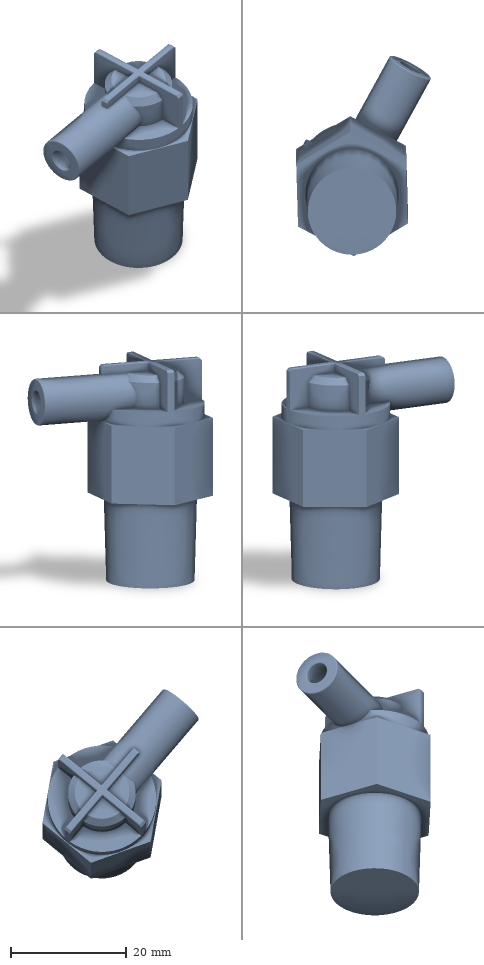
import cadquery as cq
import math

hex_across_corners = 22.0
hex_across_flats = hex_across_corners * math.cos(math.pi / 6)
hex_height = 13.7
shank_length = 15.2
shank_top_radius = 8.1
shank_bottom_radius = 7.65
hex_top = shank_length + hex_height

overall_height = 38.73
flange_radius = 9.4
flange_height = 2.48
flange_top = hex_top + flange_height
boss_radius = 5.85
boss_chamfer = 1.12
rib_thickness = 1.28
rib_end_chamfer = 0.45
rib_top_fillet = 0.25

tube_radius = 4.05
tube_clearance = 0.02
overall_depth = 30.9
tube_reach = overall_depth - hex_across_flats / 2
tube_axis_height = hex_top + tube_clearance + tube_radius
tube_edge_fillet = 0.2
bore_radius = 1.95
boss_top = tube_axis_height + tube_radius + tube_clearance


def make_plug():
    """Hexagon with a conical shank below it, its base at Z = 0."""
    shank = (
        cq.Workplane("XY")
        .circle(shank_bottom_radius)
        .workplane(offset=shank_length)
        .circle(shank_top_radius)
        .loft(ruled=True)
    )
    hexagon = (
        cq.Workplane("XY", origin=(0, 0, shank_length))
        .polygon(6, hex_across_corners)
        .extrude(hex_height)
    )
    return shank.union(hexagon)


def make_cross_ribs():
    """Two crossed bars, bounded by a chamfered disc and rounded along the top edges."""
    rib_height = overall_height - flange_top
    bar_length = 3 * flange_radius
    along_x = (
        cq.Workplane("XY", origin=(0, 0, flange_top))
        .rect(bar_length, rib_thickness)
        .extrude(rib_height)
    )
    along_y = along_x.rotate((0, 0, 0), (0, 0, 1), 90)
    outer_limit = (
        cq.Workplane("XY", origin=(0, 0, flange_top))
        .circle(flange_radius)
        .extrude(rib_height)
        .faces(">Z")
        .chamfer(rib_end_chamfer)
    )
    crossed = along_x.union(along_y).intersect(outer_limit)
    return crossed.faces(">Z").edges().fillet(rib_top_fillet)


def make_boss():
    """Chamfered round boss at the centre of the flange."""
    return (
        cq.Workplane("XY", origin=(0, 0, flange_top))
        .circle(boss_radius)
        .extrude(boss_top - flange_top)
        .faces(">Z")
        .chamfer(boss_chamfer)
    )


def make_tube():
    """Tube from the elbow axis out to its rounded rim, still without its bore."""
    return (
        cq.Workplane("XZ", origin=(0, 0, tube_axis_height))
        .circle(tube_radius)
        .extrude(tube_reach)
        .faces("<Y")
        .edges()
        .fillet(tube_edge_fillet)
    )


def make_elbow():
    """Flange, boss, cross ribs and side tube in one piece, bored to the elbow axis."""
    flange = (
        cq.Workplane("XY", origin=(0, 0, hex_top))
        .circle(flange_radius)
        .extrude(flange_height)
    )
    bore = cq.Workplane("XZ", origin=(0, 0, tube_axis_height)).circle(bore_radius).extrude(tube_reach)
    body = flange.union(make_boss()).union(make_tube()).union(make_cross_ribs())
    bored = body.cut(bore)
    smallest_rim = cq.selectors.RadiusNthSelector(0)
    return bored.faces("<Y").edges(smallest_rim).fillet(tube_edge_fillet)


plug = make_plug()
elbow = make_elbow()
result = cq.Compound.makeCompound([plug.solids().val(), elbow.solids().val()])